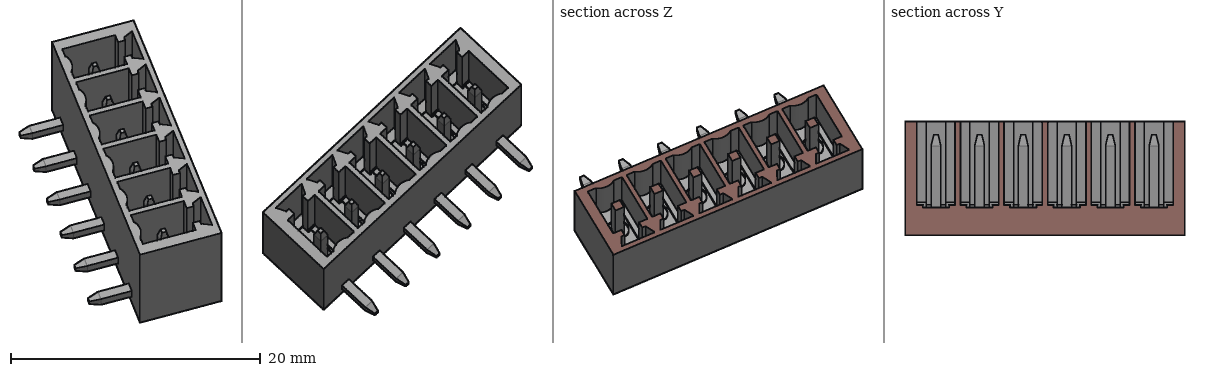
import cadquery as cq


LENGTH = 22.4
WIDTH = 6.9
HEIGHT = 9.15

POLES = 6
PITCH = 3.5

POCKET_LENGTH = 3.05
FRONT_WALL = 0.55
POCKET_BACK = 5.02
POCKET_FLOOR = 2.25

RAIL_WIDTH = 0.47
RAIL_HEIGHT = 0.2
RAIL_TOP = POCKET_FLOOR + RAIL_HEIGHT
FOOT_DEPTH = 0.07
FOOT_TOP = POCKET_FLOOR + 2 * RAIL_HEIGHT

NECK_LENGTH = 1.55
DOVETAIL_FRONT = 5.62
DOVETAIL_BACK = 6.43
DOVETAIL_FRONT_LENGTH = 2.15
DOVETAIL_BACK_LENGTH = 2.93
DOVETAIL_FLOOR = RAIL_TOP

BULGE_RADIUS = 1.35
BULGE_RISE = 0.27

PIN_SIZE = 0.78
PIN_TIP_SIZE = 0.35
PIN_TIP_LENGTH = 0.9
PIN_Y = 2.8
PIN_TOP = 8.06
TAIL_Z = 1.25
TAIL_REACH = 3.52
PIN_RECESS_RADIUS = 0.9
PIN_RECESS_DEPTH = 0.2


def box(x_size, y_start, y_end, z_start, z_end):
    """Block centred on X = 0."""
    size = (x_size, y_end - y_start, z_end - z_start)
    return cq.Workplane("XY").box(*size, centered=(True, False, False)).translate((0, y_start, z_start))


def latch_slot():
    """Neck and dovetail removed behind the pocket."""
    neck = box(NECK_LENGTH, POCKET_BACK, DOVETAIL_FRONT, POCKET_FLOOR, HEIGHT)
    dovetail = (
        cq.Workplane("XY", origin=(0, 0, DOVETAIL_FLOOR))
        .polyline([
            (-DOVETAIL_FRONT_LENGTH / 2, DOVETAIL_FRONT),
            (DOVETAIL_FRONT_LENGTH / 2, DOVETAIL_FRONT),
            (DOVETAIL_BACK_LENGTH / 2, DOVETAIL_BACK),
            (-DOVETAIL_BACK_LENGTH / 2, DOVETAIL_BACK),
        ])
        .close()
        .extrude(HEIGHT - DOVETAIL_FLOOR)
    )
    return neck.union(dovetail)


def pocket():
    """Everything removed from the housing above one contact."""
    foot_front = POCKET_BACK - FOOT_DEPTH
    bulge = (
        cq.Workplane("XY", origin=(0, FRONT_WALL + BULGE_RISE - BULGE_RADIUS, POCKET_FLOOR))
        .circle(BULGE_RADIUS)
        .extrude(HEIGHT - POCKET_FLOOR)
    )
    recess = (
        cq.Workplane("XY", origin=(0, PIN_Y, POCKET_FLOOR - PIN_RECESS_DEPTH))
        .circle(PIN_RECESS_RADIUS)
        .extrude(PIN_RECESS_DEPTH)
    )
    upper = box(POCKET_LENGTH, FRONT_WALL, POCKET_BACK, FOOT_TOP, HEIGHT)
    above_rails = box(POCKET_LENGTH, FRONT_WALL, foot_front, RAIL_TOP, FOOT_TOP)
    between_rails = box(POCKET_LENGTH - 2 * RAIL_WIDTH, FRONT_WALL, foot_front, POCKET_FLOOR, RAIL_TOP)
    neck_mouth = box(NECK_LENGTH, foot_front, POCKET_BACK, POCKET_FLOOR, HEIGHT)
    space = upper.union(above_rails).union(between_rails).union(neck_mouth).union(latch_slot())
    return space.cut(bulge).union(recess)


def tapered_bar(length):
    """Square bar along local Z with a tapered free end."""
    shank_length = length - PIN_TIP_LENGTH
    shank = cq.Workplane("XY").rect(PIN_SIZE, PIN_SIZE).extrude(shank_length)
    tip = (
        cq.Workplane("XY", origin=(0, 0, shank_length))
        .rect(PIN_SIZE, PIN_SIZE)
        .workplane(offset=PIN_TIP_LENGTH)
        .rect(PIN_TIP_SIZE, PIN_TIP_SIZE)
        .loft(ruled=True)
    )
    return shank.union(tip)


def pin():
    """Upright leg and tail of one contact, meeting at right angles inside the housing."""
    upright = tapered_bar(PIN_TOP - TAIL_Z).translate((0, PIN_Y, TAIL_Z))
    tail = tapered_bar(PIN_Y + TAIL_REACH).rotate((0, 0, 0), (1, 0, 0), 90).translate((0, PIN_Y, TAIL_Z))
    return upright.union(tail)


result = box(LENGTH, 0, WIDTH, 0, HEIGHT)
for index in range(POLES):
    pole_x = (index - (POLES - 1) / 2) * PITCH
    result = result.cut(pocket().translate((pole_x, 0, 0)))
    result = result.union(pin().translate((pole_x, 0, 0)))